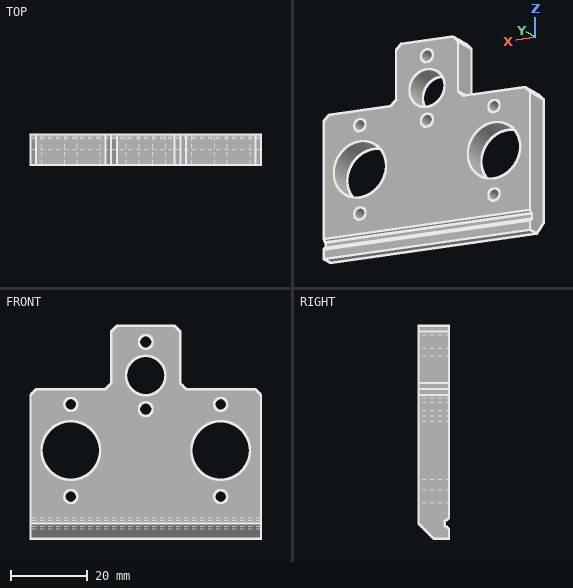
import cadquery as cq

plate_width = 60.0
plate_thickness = 8.0
total_height = 55.5
shoulder_height = 39.0
tab_width = 18.0
corner_chamfer = 1.5

bevel_size = 4.0

groove_center_z = 4.0
groove_floor_width = 1.5
groove_depth = 1.1
groove_mouth_chamfer = 0.7

side_bore_x = 19.5
side_bore_z = 23.0
side_bore_diameter = 15.2
side_screw_spacing = 24.0
side_screw_diameter = 3.3

tab_bore_z = 42.5
tab_bore_diameter = 10.2
tab_screw_spacing = 17.5
tab_screw_diameter = 3.5

front_y = -plate_thickness / 2
back_y = plate_thickness / 2


def plate_body():
    """Plate with a central tab; outer and inner corners are cut at 45 degrees."""
    half_width = plate_width / 2
    half_tab = tab_width / 2
    right_half = [
        (half_width, 0),
        (half_width, shoulder_height - corner_chamfer),
        (half_width - corner_chamfer, shoulder_height),
        (half_tab + corner_chamfer, shoulder_height),
        (half_tab, shoulder_height + corner_chamfer),
        (half_tab, total_height - corner_chamfer),
        (half_tab - corner_chamfer, total_height),
    ]
    left_half = [(-x, z) for x, z in reversed(right_half)]
    outline = cq.Workplane("XZ").polyline(right_half + left_half).close()
    return outline.extrude(plate_thickness / 2, both=True)


def full_width_prism(profile):
    """Prism over the whole plate width from a profile of (Y, Z) points."""
    return cq.Workplane("YZ").polyline(profile).close().extrude(plate_width / 2, both=True)


def bevel_cutter():
    return full_width_prism([
        (front_y, 0),
        (front_y + bevel_size, 0),
        (front_y, bevel_size),
    ])


def groove_cutter():
    floor_half = groove_floor_width / 2
    mouth_half = floor_half + groove_mouth_chamfer
    floor_y = back_y - groove_depth
    chamfer_y = back_y - groove_mouth_chamfer
    return full_width_prism([
        (back_y, groove_center_z - mouth_half),
        (chamfer_y, groove_center_z - floor_half),
        (floor_y, groove_center_z - floor_half),
        (floor_y, groove_center_z + floor_half),
        (chamfer_y, groove_center_z + floor_half),
        (back_y, groove_center_z + mouth_half),
    ])


def through_hole(x, z, diameter):
    hole = cq.Workplane("XZ").center(x, z).circle(diameter / 2)
    return hole.extrude(plate_thickness, both=True)


def bore_with_screws(x, z, bore_diameter, screw_spacing, screw_diameter):
    """Bore with one screw hole above and one below it, as a single cutter."""
    cutter = through_hole(x, z, bore_diameter)
    for side in (-1, 1):
        cutter = cutter.add(through_hole(x, z + side * screw_spacing / 2, screw_diameter))
    return cutter.combine()


result = plate_body().cut(bevel_cutter()).cut(groove_cutter())

for bore_x in (-side_bore_x, side_bore_x):
    result = result.cut(
        bore_with_screws(
            bore_x, side_bore_z, side_bore_diameter, side_screw_spacing, side_screw_diameter
        )
    )

result = result.cut(
    bore_with_screws(0, tab_bore_z, tab_bore_diameter, tab_screw_spacing, tab_screw_diameter)
)